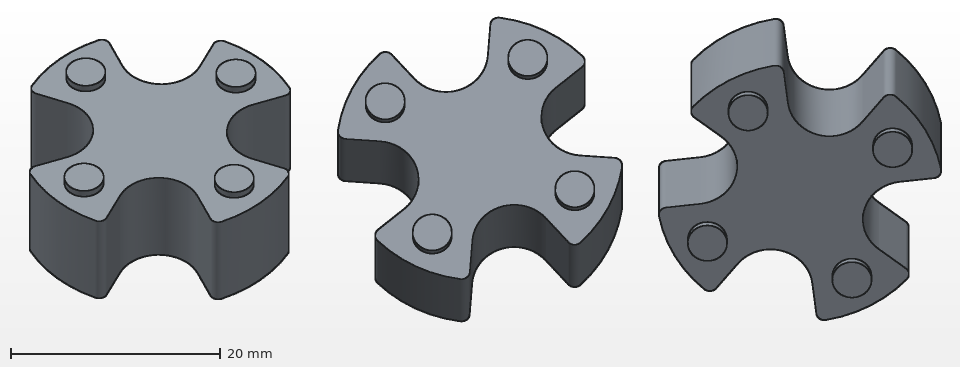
import cadquery as cq
import math

outer_diameter = 27.43
outer_radius = outer_diameter / 2
total_height = 11.88
peg_height = 0.77
body_height = total_height - 2 * peg_height

arm_count = 4
peg_diameter = 3.75
peg_circle_radius = 10.15

root_radius = 4.0
root_center_offset = 7.35
root_center_distance = root_center_offset * math.sqrt(2)
wall_half_angle = 22.5
corner_radius = 0.8


def make_notch():
    """Cutter for one notch, opening outward along +X."""
    angle = math.radians(wall_half_angle)
    tangent_x = root_center_distance - root_radius * math.sin(angle)
    tangent_y = root_radius * math.cos(angle)
    mouth_x = outer_diameter
    mouth_y = tangent_y + (mouth_x - tangent_x) * math.tan(angle)
    return (
        cq.Workplane("XY")
        .moveTo(tangent_x, tangent_y)
        .threePointArc((root_center_distance - root_radius, 0), (tangent_x, -tangent_y))
        .lineTo(mouth_x, -mouth_y)
        .lineTo(mouth_x, mouth_y)
        .close()
        .extrude(body_height / 2, both=True)
    )


def make_body():
    """Four-armed body centred on the origin, with rounded arm tips."""
    pitch = 360 / arm_count
    body = (
        cq.Workplane("XY")
        .circle(outer_radius)
        .extrude(body_height / 2, both=True)
        .rotate((0, 0, 0), (0, 0, 1), pitch / 2)
    )
    notch = make_notch()
    for index in range(arm_count):
        body = body.cut(notch.rotate((0, 0, 0), (0, 0, 1), (index + 0.5) * pitch))

    def is_tip_corner(edge):
        center = edge.Center()
        return math.isclose(math.hypot(center.x, center.y), outer_radius, rel_tol=1e-4)

    return body.edges("|Z").filter(is_tip_corner).fillet(corner_radius)


def make_pegs():
    """Round pegs running through the body and standing proud of both faces."""
    return (
        cq.Workplane("XY")
        .polarArray(peg_circle_radius, 0, 360, arm_count)
        .circle(peg_diameter / 2)
        .extrude(total_height / 2, both=True)
    )


result = make_body().union(make_pegs())